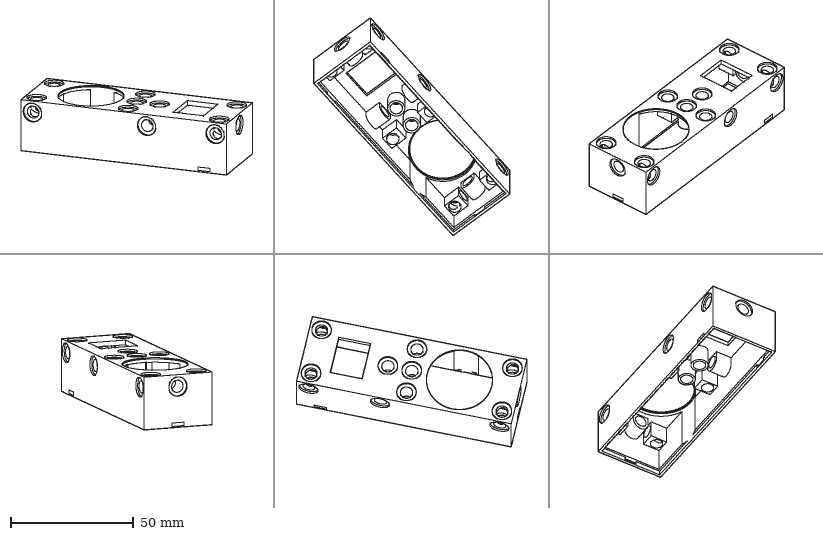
import cadquery as cq


length = 90.0
pitch = length / 9
width = 3 * pitch
height = 2.2 * pitch
wall = 2.0
roof = 2.0

rabbet_wall = 1.2
rabbet_depth = 2.0
slot_width = 5.2
slot_bottom = 0.5
slot_skin = 0.25
side_slot_x = 8 * pitch

bore_diameter = 5.0
counterbore_diameter = 8.0
counterbore_depth = 0.8
edge_distance = pitch / 2
far_x = length - edge_distance
far_y = width - edge_distance
mid_x = length / 2
mid_y = width / 2
side_hole_x = mid_x + pitch
side_hole_z = height - edge_distance
side_bore_depth = pitch

boss_diameter = 7.0
boss_length = 9.6
block_reach = 9.45
block_width = 2 * (edge_distance - wall)
side_boss_length = 9.0
side_boss_drop = 0.5

round_opening_diameter = 27.0
round_pocket_diameter = 28.0
round_lip = 0.5
round_x = 2.5 * pitch
window_length = 13.3
window_width = 16.3
window_x = 70.7

block_holes = [(x, y) for x in (edge_distance, mid_x, far_x) for y in (edge_distance, far_y)]
round_boss_holes = [(mid_x, mid_y), (side_hole_x, mid_y)]


def box_between(low, high):
    """Box spanned by two opposite corners."""
    size = [b - a for a, b in zip(low, high)]
    return cq.Workplane("XY").box(*size, centered=False).translate(low)


def rod(start, direction, diameter, rod_length):
    """Cylinder running from the start point along the direction."""
    return cq.Workplane(
        cq.Solid.makeCylinder(diameter / 2, rod_length, cq.Vector(*start), cq.Vector(*direction))
    )


def along(start, direction, distance):
    """Point at a distance from the start along the direction."""
    return tuple(s + distance * d for s, d in zip(start, direction))


def pin_hole(entry, inward, depth):
    """Bore with a shallow counterbore at its entry."""
    bore = rod(entry, inward, bore_diameter, depth)
    return bore.union(rod(entry, inward, counterbore_diameter, counterbore_depth))


def side_boss(entry, inward):
    """Round-bottomed boss behind a side hole, with straight flanks up to the roof."""
    radius = boss_diameter / 2
    axis_start = (entry[0], entry[1], entry[2] - side_boss_drop)
    across = (abs(inward[1]), abs(inward[0]), 0)
    left = along(axis_start, across, -radius)
    right = along(along(axis_start, across, radius), inward, side_boss_length)
    low = (min(left[0], right[0]), min(left[1], right[1]), axis_start[2])
    high = (max(left[0], right[0]), max(left[1], right[1]), height)
    return rod(axis_start, inward, boss_diameter, side_boss_length).union(box_between(low, high))


body = box_between((0, 0, 0), (length, width, height))
body = body.cut(box_between((wall, wall, 0), (length - wall, width - wall, height - roof)))
body = body.cut(
    box_between(
        (rabbet_wall, rabbet_wall, 0),
        (length - rabbet_wall, width - rabbet_wall, rabbet_depth),
    )
)

body = body.cut(rod((round_x, mid_y, 0), (0, 0, 1), round_pocket_diameter, height - round_lip))
body = body.cut(rod((round_x, mid_y, 0), (0, 0, 1), round_opening_diameter, height))

for x, y in block_holes:
    y_low, y_high = (0, block_reach) if y < mid_y else (width - block_reach, width)
    body = body.union(
        box_between(
            (x - block_width / 2, y_low, height - boss_length),
            (x + block_width / 2, y_high, height),
        )
    )

for x, y in round_boss_holes:
    body = body.union(rod((x, y, height), (0, 0, -1), boss_diameter, boss_length))

corner_side_holes = []
boss_side_holes = [
    ((0, mid_y, side_hole_z), (1, 0, 0)),
    ((length, mid_y, side_hole_z), (-1, 0, 0)),
]
for y, inward in ((0, (0, 1, 0)), (width, (0, -1, 0))):
    corner_side_holes += [((x, y, side_hole_z), inward) for x in (edge_distance, far_x)]
    boss_side_holes.append(((side_hole_x, y, side_hole_z), inward))

for entry, inward in boss_side_holes:
    body = body.union(side_boss(entry, inward))

body = body.cut(
    box_between(
        (window_x - window_length / 2, mid_y - window_width / 2, 0),
        (window_x + window_length / 2, mid_y + window_width / 2, height),
    )
)

for x, y in block_holes + round_boss_holes:
    body = body.cut(pin_hole((x, y, height), (0, 0, -1), height))
for entry, inward in corner_side_holes + boss_side_holes:
    body = body.cut(pin_hole(entry, inward, side_bore_depth))

half_slot = slot_width / 2
body = body.cut(
    box_between(
        (slot_skin, mid_y - half_slot, slot_bottom),
        (wall, mid_y + half_slot, rabbet_depth),
    )
)
for y_low, y_high in ((slot_skin, wall), (width - wall, width - slot_skin)):
    body = body.cut(
        box_between(
            (side_slot_x - half_slot, y_low, slot_bottom),
            (side_slot_x + half_slot, y_high, rabbet_depth),
        )
    )

result = body